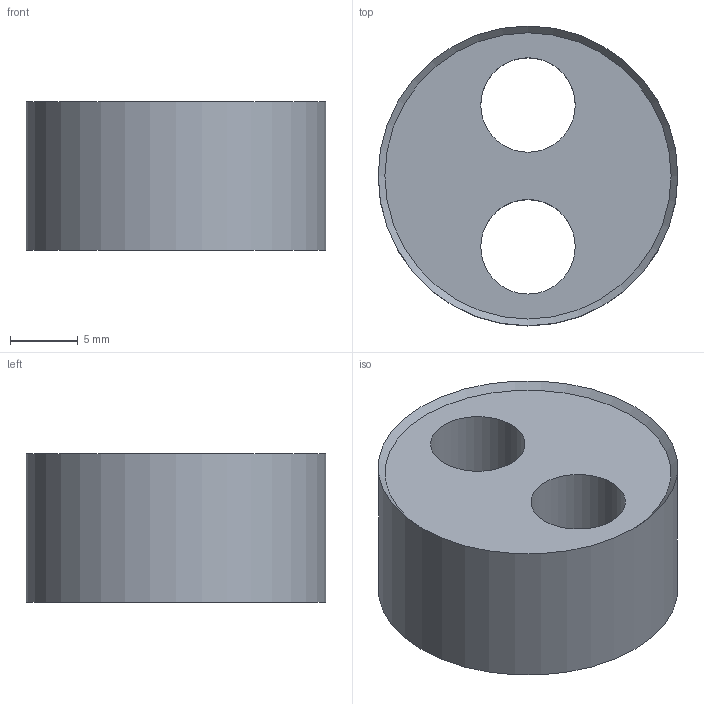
import cadquery as cq

body_diameter = 22.2
body_height = 11.0

rim_width = 0.5
dish_depth = 0.5
floor_diameter = body_diameter - 2 * rim_width

hole_diameter = 7.0
hole_spacing = 10.5


def make_body():
    """Plain cylinder standing on the XY plane."""
    return cq.Workplane("XY").circle(body_diameter / 2).extrude(body_height)


def make_dish():
    """Shallow cone frustum that opens out to the full diameter at the top."""
    return (
        cq.Workplane("XY")
        .workplane(offset=body_height - dish_depth)
        .circle(floor_diameter / 2)
        .workplane(offset=dish_depth)
        .circle(body_diameter / 2)
        .loft(ruled=True)
    )


def make_holes():
    """Pair of cylinders through the full height, either side of the X axis."""
    hole_centres = [(0, -hole_spacing / 2), (0, hole_spacing / 2)]
    return (
        cq.Workplane("XY")
        .pushPoints(hole_centres)
        .circle(hole_diameter / 2)
        .extrude(body_height)
    )


result = make_body().cut(make_dish()).cut(make_holes())